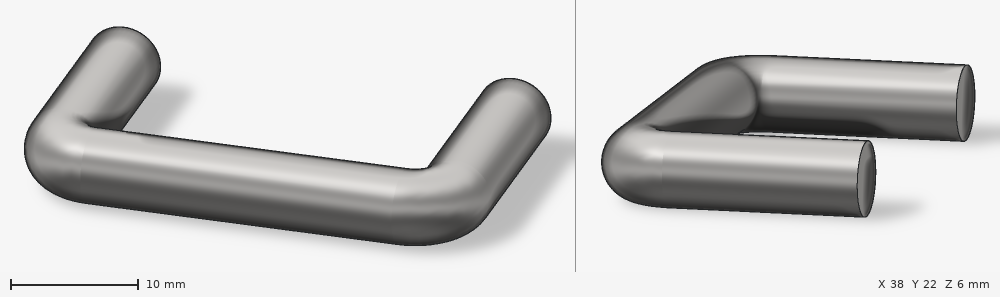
import cadquery as cq

rod_diameter = 6.0
overall_width = 38.0
overall_depth = 22.0
inner_bend_radius = 0.25

rod_radius = rod_diameter / 2
bend_radius = inner_bend_radius + rod_radius
leg_spacing = overall_width - rod_diameter
leg_x = leg_spacing / 2
leg_length = overall_depth - rod_radius


def handle_centreline():
    """U-shaped path in the XY plane: leg, bend, grip, bend, leg."""
    straight_end_x = leg_x - bend_radius
    bend_start_y = -leg_length + bend_radius
    return (
        cq.Workplane("XY")
        .moveTo(-leg_x, 0)
        .lineTo(-leg_x, bend_start_y)
        .radiusArc((-straight_end_x, -leg_length), -bend_radius)
        .lineTo(straight_end_x, -leg_length)
        .radiusArc((leg_x, bend_start_y), -bend_radius)
        .lineTo(leg_x, 0)
    )


def handle():
    """Round rod swept along the centreline, leg ends flat at Y = 0."""
    rod_section = cq.Workplane("XZ", origin=(-leg_x, 0, 0)).circle(rod_radius)
    return rod_section.sweep(handle_centreline())


result = handle()